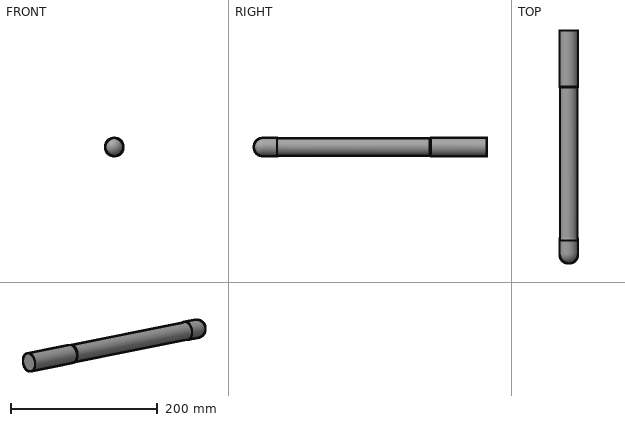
import cadquery as cq
import math

INCH = 25.4
overall_length = 12.5 * INCH
full_radius = 0.5 * INCH
shaft_radius = 0.475 * INCH
handle_length = 3.0 * INCH
cap_sleeve_length = 0.75 * INCH
front_taper_angle = 10
rear_taper_angle = 20

taper_rise = full_radius - shaft_radius
front_taper_length = taper_rise / math.tan(math.radians(front_taper_angle))
rear_taper_length = taper_rise / math.tan(math.radians(rear_taper_angle))

tip_y = -overall_length / 2
handle_end_y = overall_length / 2
dome_base_y = tip_y + full_radius
cap_joint_y = dome_base_y + cap_sleeve_length
shaft_front_y = cap_joint_y + front_taper_length
handle_front_y = handle_end_y - handle_length
shaft_rear_y = handle_front_y - rear_taper_length


def revolve_about_y(half_profile):
    """Revolve a closed half profile, drawn with X as radius, about the Y axis."""
    return half_profile.close().revolve(360, (0, 0, 0), (0, 1, 0))


def make_rod():
    """Handle and slimmer shaft in one piece, flared to full diameter at both shaft ends."""
    half_profile = (
        cq.Workplane("XY")
        .moveTo(0, cap_joint_y)
        .lineTo(full_radius, cap_joint_y)
        .lineTo(shaft_radius, shaft_front_y)
        .lineTo(shaft_radius, shaft_rear_y)
        .lineTo(full_radius, handle_front_y)
        .lineTo(full_radius, handle_end_y)
        .lineTo(0, handle_end_y)
    )
    return revolve_about_y(half_profile)


def make_cap():
    """Cylindrical cap with a hemispherical tip, butted against the flared end of the shaft."""
    half_profile = (
        cq.Workplane("XY")
        .moveTo(0, tip_y)
        .radiusArc((full_radius, dome_base_y), -full_radius)
        .lineTo(full_radius, cap_joint_y)
        .lineTo(0, cap_joint_y)
    )
    return revolve_about_y(half_profile)


rod = make_rod()
cap = make_cap()

result = cq.Compound.makeCompound([rod.val(), cap.val()])